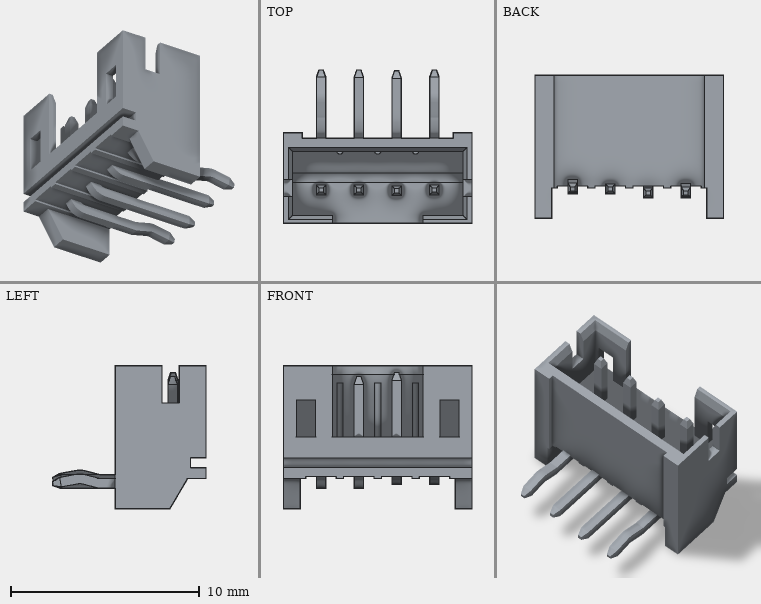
import cadquery as cq
import math


pin_count = 4
pin_pitch = 2.0

housing_width = 10.0
housing_depth = 4.81
housing_height = 7.58
seat_height = 1.6
foot_width = 0.91
foot_depth = 2.9
foot_depth_at_seat = 3.84
back_recess_depth = 0.29
back_wing_width = 1.01

pin_channel_width = 1.6
pin_channel_depth = 0.1
front_groove_bottom = 2.18
front_groove_height = 0.52
front_groove_depth = 0.81

side_wall = 0.49
front_wall = 0.43
cavity_back = 3.81
floor_height = 3.8
mouth_flare = 0.21
mouth_flare_height = 0.48
well_floor_height = 2.64
well_slope_top = 2.18
well_slope_bottom = 2.67

window_width = 4.8
latch_hole_width = 1.02
latch_hole_height = 1.97
latch_hole_center = 3.8
side_slot_front = 1.42
side_slot_width = 0.9
side_slot_depth = 1.98

rib_width = 0.33
rib_height = 0.14
rib_top = 6.65

pin_size = 0.51
pin_tip_size = 0.23
pin_tip_length = 0.41
pin_y = 1.77
pin_z = 1.34
pin_top = 6.99
pin_back = 8.13
bend_radius = 0.7
kink_start = 5.63
kink_peak = 6.65
kink_rise_angle = 14.5
kink_fall_angle = 10.5
kink_radius = 0.74

pin_raise = 0.21
pin_advance = 0.04
pin_variants = [
    (0.0, 0.0, True),
    (0.0, 0.0, False),
    (pin_raise, pin_advance, False),
    (pin_raise, 0.0, True),
]

pin_positions = [(i - (pin_count - 1) / 2) * pin_pitch for i in range(pin_count)]
rib_positions = [x + pin_pitch / 2 for x in pin_positions[:-1]]


def block(x_center, x_size, y_min, y_max, z_min, z_max):
    """Box centered on x_center in X, between the given limits in Y and Z."""
    box = cq.Workplane("XY").box(x_size, y_max - y_min, z_max - z_min, centered=(True, False, False))
    return box.translate((x_center, y_min, z_min))


def extrude_side_outline(points, width):
    """Prism across X, symmetric about X = 0, from (y, z) points."""
    return cq.Workplane("YZ").polyline(points).close().extrude(width / 2, both=True)


def housing_blank():
    """Full-width body with its slanted feet, open between the feet and recessed at the back."""
    body = extrude_side_outline(
        [
            (0, seat_height),
            (housing_depth - foot_depth_at_seat, seat_height),
            (housing_depth - foot_depth, 0),
            (housing_depth, 0),
            (housing_depth, housing_height),
            (0, housing_height),
        ],
        housing_width,
    )
    between_feet = block(0, housing_width - 2 * foot_width, 0, housing_depth, 0, seat_height)
    back_recess = block(
        0, housing_width - 2 * back_wing_width,
        housing_depth - back_recess_depth, housing_depth, 0, housing_height,
    )
    return body.cut(between_feet).cut(back_recess)


def cut_outer_grooves(body):
    """Groove across the front face and one shallow channel under each pin."""
    groove_top = front_groove_bottom + front_groove_height
    body = body.cut(block(0, housing_width, 0, front_groove_depth, front_groove_bottom, groove_top))
    for x in pin_positions:
        channel_top = seat_height + pin_channel_depth
        body = body.cut(block(x, pin_channel_width, 0, housing_depth, seat_height, channel_top))
    return body


def cut_cavity(body):
    """Open-topped cavity with a flared mouth and a deeper well along its back wall."""
    cavity_width = housing_width - 2 * side_wall
    cavity_length = cavity_back - front_wall
    flare_bottom = housing_height - mouth_flare_height

    cavity = block(0, cavity_width, front_wall, cavity_back, floor_height, housing_height)
    mouth = (
        cq.Workplane("XY", origin=(0, (front_wall + cavity_back) / 2, flare_bottom))
        .rect(cavity_width, cavity_length)
        .workplane(offset=mouth_flare_height)
        .rect(cavity_width + 2 * mouth_flare, cavity_length + 2 * mouth_flare)
        .loft()
    )
    well = extrude_side_outline(
        [
            (well_slope_top, floor_height),
            (well_slope_bottom, well_floor_height),
            (cavity_back, well_floor_height),
            (cavity_back, floor_height),
        ],
        cavity_width,
    )
    return body.cut(cavity).cut(mouth).cut(well)


def cut_wall_openings(body):
    """Front window, two latch holes through the front wall and a slot in each side wall."""
    body = body.cut(block(0, window_width, 0, front_wall, floor_height, housing_height))
    for side in (-1, 1):
        latch_hole = block(
            side * latch_hole_center, latch_hole_width,
            0, front_wall, floor_height, floor_height + latch_hole_height,
        )
        body = body.cut(latch_hole)
    side_slots = block(
        0, housing_width,
        side_slot_front, side_slot_front + side_slot_width,
        housing_height - side_slot_depth, housing_height,
    )
    return body.cut(side_slots)


def add_ribs(body):
    """Round-fronted ribs up the back wall, one midway between each two pins."""
    for x in rib_positions:
        rib = (
            cq.Workplane("XY", origin=(x, cavity_back, well_floor_height))
            .moveTo(-rib_width / 2, 0)
            .threePointArc((0, -rib_height), (rib_width / 2, 0))
            .close()
            .extrude(rib_top - well_floor_height)
        )
        body = body.union(rib)
    return body


def pin_tip(end, direction):
    """Tapered square tip that starts at the end point of a pin and points along the direction."""
    plane = cq.Plane(origin=end, xDir=(1, 0, 0), normal=direction)
    return (
        cq.Workplane(plane)
        .rect(pin_size, pin_size)
        .workplane(offset=pin_tip_length)
        .rect(pin_tip_size, pin_tip_size)
        .loft()
    )


def make_pin(x, raised, moved_forward, kinked):
    """Square pin: an upright leg, a round bend and a lying tail that is straight or kinked upward."""
    y = pin_y - moved_forward
    z = pin_z + raised
    upright_end = pin_top + raised - pin_tip_length
    fall = math.radians(kink_fall_angle) if kinked else 0.0
    tip_reach = pin_tip_length * math.cos(fall) + pin_tip_size / 2 * math.sin(fall)
    tail_end_y = pin_back - moved_forward - tip_reach
    tail_end_z = z

    path = (
        cq.Workplane("YZ", origin=(x, 0, 0))
        .moveTo(y, upright_end)
        .lineTo(y, z + bend_radius)
        .tangentArcPoint((y + bend_radius, z), relative=False)
    )
    if kinked:
        rise = math.radians(kink_rise_angle)
        peak_z = z + (kink_peak - kink_start) * math.tan(rise)
        tangent = kink_radius * math.tan((rise + fall) / 2)
        arc_start = (kink_peak - tangent * math.cos(rise), peak_z - tangent * math.sin(rise))
        arc_end = (kink_peak + tangent * math.cos(fall), peak_z - tangent * math.sin(fall))
        tail_end_z = peak_z - (tail_end_y - kink_peak) * math.tan(fall)
        path = (
            path.lineTo(kink_start, z)
            .lineTo(*arc_start)
            .tangentArcPoint(arc_end, relative=False)
        )
    path = path.lineTo(tail_end_y, tail_end_z)

    section = cq.Workplane("XY", origin=(x, y, upright_end)).rect(pin_size, pin_size)
    shaft = section.sweep(path, transition="right")
    upper_tip = pin_tip((x, y, upright_end), (0, 0, 1))
    tail_tip = pin_tip((x, tail_end_y, tail_end_z), (0, math.cos(fall), -math.sin(fall)))
    return shaft.union(upper_tip).union(tail_tip)


pins = [make_pin(x, *variant) for x, variant in zip(pin_positions, pin_variants)]

housing = housing_blank()
housing = cut_outer_grooves(housing)
housing = cut_cavity(housing)
housing = cut_wall_openings(housing)
housing = add_ribs(housing)
for pin in pins:
    housing = housing.cut(pin)

result = cq.Compound.makeCompound([housing.solids().val(), *[pin.solids().val() for pin in pins]])